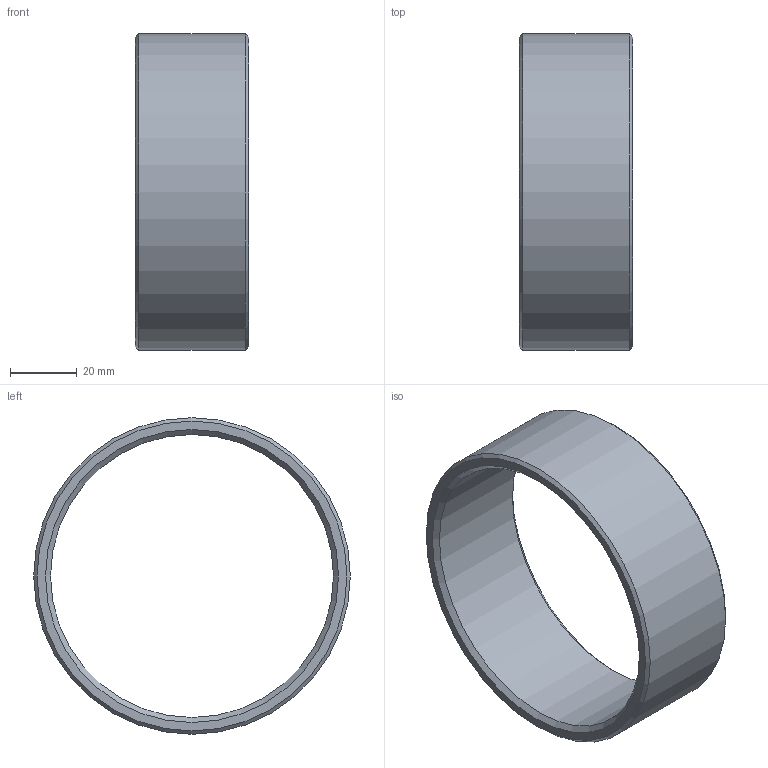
import cadquery as cq

width = 34.0
outer_diameter = 95.0
bore_diameter = 84.93
outer_chamfer = 1.0
bore_chamfer = 1.5

outer_radius = outer_diameter / 2
bore_radius = bore_diameter / 2
half_width = width / 2


def ring_profile():
    """Wall section of the ring: x runs along the axis, y is the radius."""
    outer_edge_x = half_width - outer_chamfer
    bore_edge_x = half_width - bore_chamfer
    face_outer_radius = outer_radius - outer_chamfer
    face_inner_radius = bore_radius + bore_chamfer
    return (
        cq.Workplane("XY")
        .moveTo(-bore_edge_x, bore_radius)
        .lineTo(bore_edge_x, bore_radius)
        .lineTo(half_width, face_inner_radius)
        .lineTo(half_width, face_outer_radius)
        .lineTo(outer_edge_x, outer_radius)
        .lineTo(-outer_edge_x, outer_radius)
        .lineTo(-half_width, face_outer_radius)
        .lineTo(-half_width, face_inner_radius)
        .close()
    )


full_turn = 360
axis_start = (0, 0, 0)
axis_end = (1, 0, 0)
result = ring_profile().revolve(full_turn, axis_start, axis_end)